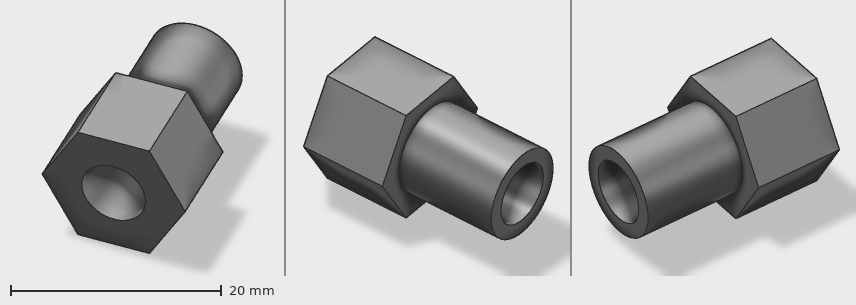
import cadquery as cq

total_length = 20.62
hex_length = 9.5
hex_across_corners = 14.66
shank_diameter = 9.53
bore_diameter = 6.52

shank_length = total_length - hex_length

head_plane = cq.Workplane("XZ")
head = head_plane.polygon(6, hex_across_corners).extrude(-hex_length)

shank = (
    head_plane.workplane(offset=-hex_length)
    .circle(shank_diameter / 2)
    .extrude(-shank_length)
)

bore = head_plane.circle(bore_diameter / 2).extrude(-total_length)

result = head.union(shank).cut(bore)